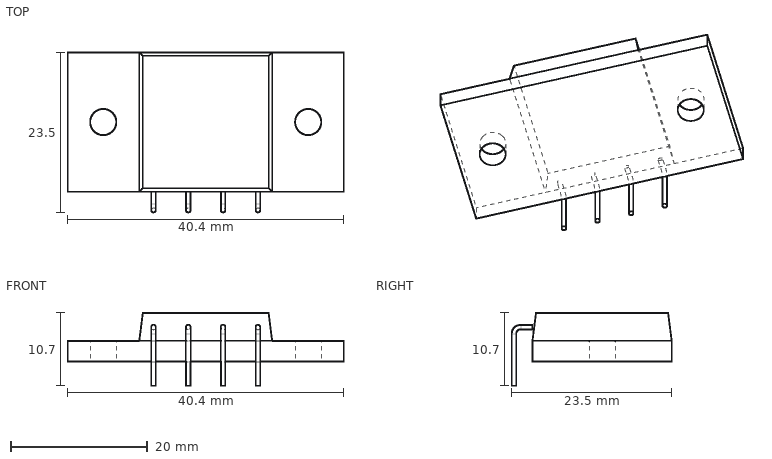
import cadquery as cq

plate_length = 40.4
plate_depth = 20.4
plate_thickness = 3.05
hole_diameter = 3.8
hole_spacing = 30.0

cover_length = 19.5
cover_height = 4.12
cover_inset = 0.53

lead_count = 4
lead_pitch = 5.1
lead_diameter = 0.7
lead_axis_height = 5.05
lead_bend_radius = 0.95
lead_reach = 3.05
lead_drop = 3.55

lead_radius = lead_diameter / 2
front_y = -plate_depth / 2
lead_outer_y = front_y - lead_reach + lead_radius


def make_plate():
    """Flat plate resting on Z = 0 with two mounting holes."""
    return (
        cq.Workplane("XY")
        .box(plate_length, plate_depth, plate_thickness, centered=(True, True, False))
        .faces(">Z")
        .workplane()
        .pushPoints([(-hole_spacing / 2, 0), (hole_spacing / 2, 0)])
        .hole(hole_diameter)
    )


def make_cover():
    """Tapered block whose foot is flush with the plate's front and back."""
    return (
        cq.Workplane("XY")
        .workplane(offset=plate_thickness)
        .rect(cover_length, plate_depth)
        .workplane(offset=cover_height)
        .rect(cover_length - 2 * cover_inset, plate_depth - 2 * cover_inset)
        .loft(ruled=True)
    )


def make_lead(x):
    """Round wire starting over the plate front edge, clear of the cover, and bent down."""
    path = (
        cq.Workplane("YZ", origin=(x, 0, 0))
        .moveTo(front_y, lead_axis_height)
        .lineTo(lead_outer_y + lead_bend_radius, lead_axis_height)
        .radiusArc((lead_outer_y, lead_axis_height - lead_bend_radius), -lead_bend_radius)
        .lineTo(lead_outer_y, -lead_drop)
    )
    return (
        cq.Workplane("XZ", origin=(x, front_y, lead_axis_height))
        .circle(lead_radius)
        .sweep(path)
    )


plate = make_plate()
cover = make_cover()
leads = []
for index in range(lead_count):
    lead_x = (index - (lead_count - 1) / 2) * lead_pitch
    leads.append(make_lead(lead_x))

result = cq.Compound.makeCompound([plate.val(), cover.val(), *[lead.val() for lead in leads]])